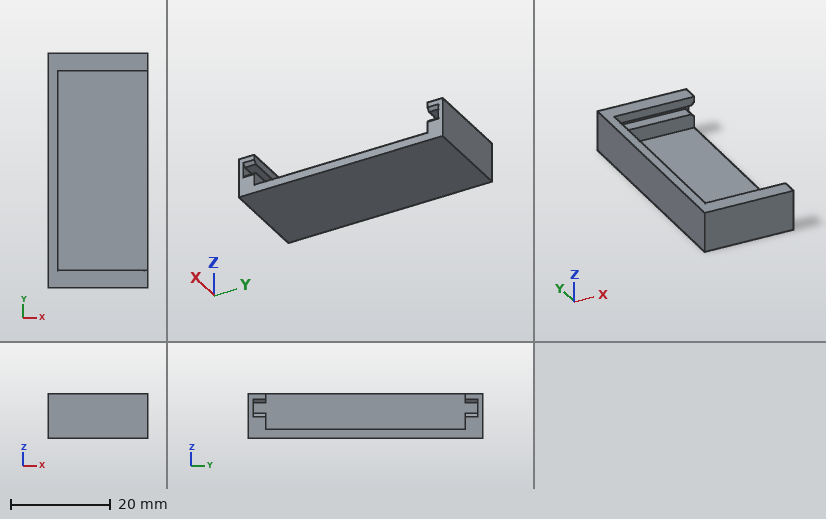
import cadquery as cq

width = 20.0
length = 47.0
height = 9.0

back_wall = 1.97
side_wall = 3.52
floor = 1.9

lip_height = 1.9
groove_height = 2.0
groove_skin = 1.0
mouth_chamfer = 0.7

cavity_width = width - back_wall
cavity_length = length - 2 * side_wall
groove_depth = side_wall - groove_skin
groove_top = height - lip_height
groove_bottom = groove_top - groove_height


def make_tray():
    """Block with a pocket that runs out through the +X end."""
    block = cq.Workplane("XY").box(width, length, height, centered=(False, True, False))
    pocket = (
        cq.Workplane("XY")
        .box(cavity_width, cavity_length, height - floor, centered=(False, True, False))
        .translate((back_wall, 0, floor))
    )
    return block.cut(pocket)


def make_groove(inner_y, outward):
    """Groove cutter starting at a wall's inner face, flared by chamfers at its open end."""
    chamfer_start = width - mouth_chamfer
    return (
        cq.Workplane("XZ", origin=(0, inner_y, 0))
        .moveTo(back_wall, groove_bottom)
        .lineTo(chamfer_start, groove_bottom)
        .lineTo(width, groove_bottom - mouth_chamfer)
        .lineTo(width, groove_top + mouth_chamfer)
        .lineTo(chamfer_start, groove_top)
        .lineTo(back_wall, groove_top)
        .close()
        .extrude(-outward * groove_depth)
    )


result = make_tray()
for side in (-1, 1):
    result = result.cut(make_groove(side * cavity_length / 2, side))